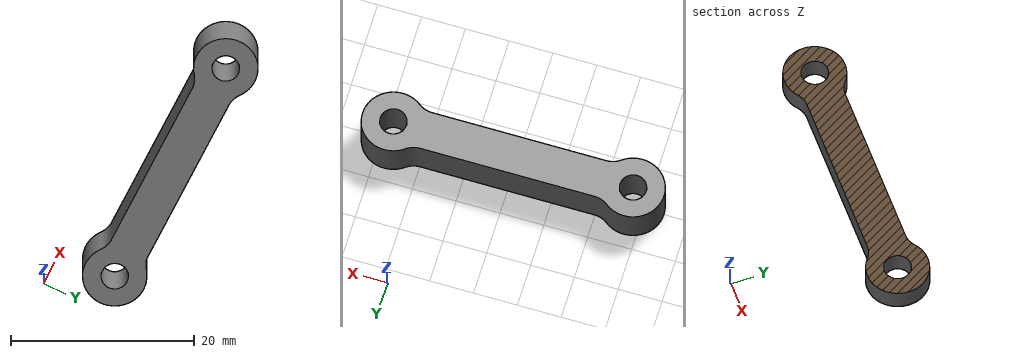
import cadquery as cq

length = 34.4
eye_diameter = 7.05
hole_diameter = 3.0
arm_width = 4.47
thickness = 5.0
neck_radius = 2.5

hole_spacing = length - eye_diameter
eye_centres = [(-hole_spacing / 2, 0), (hole_spacing / 2, 0)]

arm = cq.Workplane("XY").rect(hole_spacing, arm_width).extrude(thickness)

eyes = cq.Workplane("XY").pushPoints(eye_centres).circle(eye_diameter / 2).extrude(thickness)
link = arm.union(eyes)

neck_zone = cq.selectors.BoxSelector(
    (-hole_spacing / 2, -eye_diameter / 2, 0),
    (hole_spacing / 2, eye_diameter / 2, thickness),
)
link = link.edges("|Z").edges(neck_zone).fillet(neck_radius)

holes = cq.Workplane("XY").pushPoints(eye_centres).circle(hole_diameter / 2).extrude(thickness)
result = link.cut(holes)